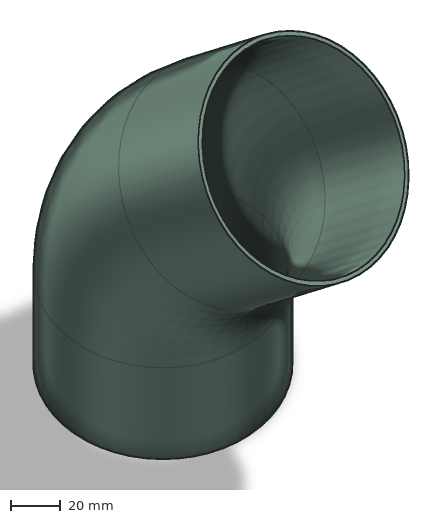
import cadquery as cq

outer_diameter = 104.0
inner_diameter = 100.0
bend_angle = 45
bend_radius = 100.5
straight_length = 54.8


def bend(profile):
    """Revolve the profile about an axis parallel to Y on its +X side."""
    return profile.revolve(bend_angle, (bend_radius, 0, 0), (bend_radius, 1, 0))


def elbow(diameter):
    """Solid elbow whose lower end stands on the XY plane, turning toward +X."""
    lower_end = cq.Workplane("XY").circle(diameter / 2).extrude(straight_length)
    curve = bend(cq.Workplane("XY", origin=(0, 0, straight_length)).circle(diameter / 2))
    upper_end = (
        cq.Workplane("XY", origin=(0, 0, straight_length))
        .circle(diameter / 2)
        .extrude(straight_length)
        .rotate((bend_radius, 0, straight_length), (bend_radius, 1, straight_length), bend_angle)
    )
    return lower_end.union(curve).union(upper_end)


result = elbow(outer_diameter).cut(elbow(inner_diameter))